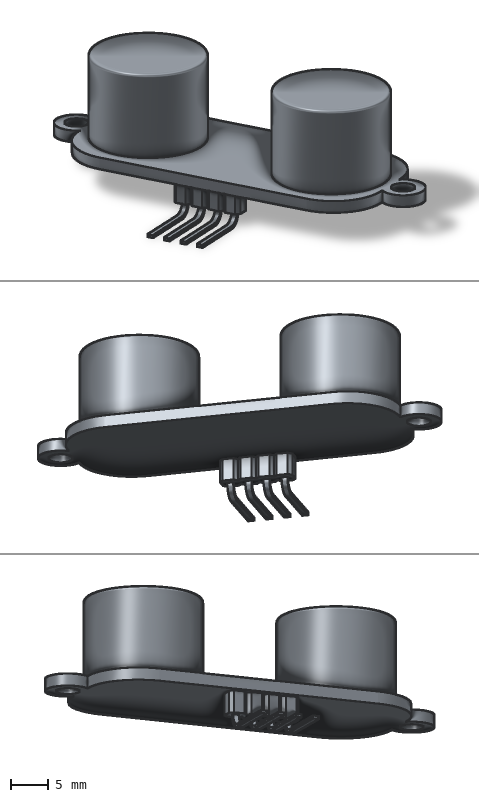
import cadquery as cq

overall_length = 56.0
board_length = 46.25
board_width = 20.0
board_thickness = 1.7
corner_radius = 7.3
lug_radius = 3.0
lug_hole_diameter = 3.2
lug_offset = overall_length / 2 - lug_radius

can_diameter = 16.0
can_height = 12.0
can_offset = 14.0
can_edge_radius = 0.5

pin_count = 4
pin_pitch = 2.5
header_height = 3.0
header_chamfer = 0.5
header_center_x = -0.15
header_center_y = -7.85

overall_height = 18.7
overall_width = 27.5
pin_width = 0.85
pin_thickness = 0.4
bend_inner_radius = 1.45

header_bottom = -board_thickness - header_height
pin_bottom = can_height - overall_height
pin_tip_y = board_width / 2 - overall_width


def make_board():
    plate = (
        cq.Workplane("XY")
        .box(board_length, board_width, board_thickness, centered=(True, True, False))
        .edges("|Z")
        .fillet(corner_radius)
    )
    lug_centers = [(-lug_offset, 0), (lug_offset, 0)]
    lugs = cq.Workplane("XY").pushPoints(lug_centers).circle(lug_radius).extrude(board_thickness)
    holes = cq.Workplane("XY").pushPoints(lug_centers).circle(lug_hole_diameter / 2).extrude(board_thickness)
    return plate.union(lugs).cut(holes).translate((0, 0, -board_thickness))


def make_can(x):
    return (
        cq.Workplane("XY")
        .center(x, 0)
        .circle(can_diameter / 2)
        .extrude(can_height)
        .faces(">Z")
        .edges()
        .fillet(can_edge_radius)
    )


def make_header_cell(x):
    return (
        cq.Workplane("XY")
        .box(pin_pitch, pin_pitch, header_height, centered=(True, True, False))
        .edges("|Z")
        .chamfer(header_chamfer)
        .translate((x, header_center_y, header_bottom))
    )


def make_pin(x):
    """Flat pin that leaves the header downward and bends a quarter turn toward -Y."""
    inner_y = header_center_y - pin_thickness / 2
    outer_y = header_center_y + pin_thickness / 2
    pin_top = pin_bottom + pin_thickness
    bend_y = inner_y - bend_inner_radius
    bend_z = pin_top + bend_inner_radius
    bend_outer_radius = bend_inner_radius + pin_thickness
    return (
        cq.Workplane("YZ")
        .moveTo(outer_y, header_bottom)
        .lineTo(outer_y, bend_z)
        .radiusArc((bend_y, pin_bottom), bend_outer_radius)
        .lineTo(pin_tip_y, pin_bottom)
        .lineTo(pin_tip_y, pin_top)
        .lineTo(bend_y, pin_top)
        .radiusArc((inner_y, bend_z), -bend_inner_radius)
        .lineTo(inner_y, header_bottom)
        .close()
        .extrude(pin_width / 2, both=True)
        .translate((x, 0, 0))
    )


result = make_board()
for can_x in (-can_offset, can_offset):
    result = result.union(make_can(can_x))
for index in range(pin_count):
    cell_x = header_center_x + (index - (pin_count - 1) / 2) * pin_pitch
    result = result.union(make_header_cell(cell_x)).union(make_pin(cell_x))